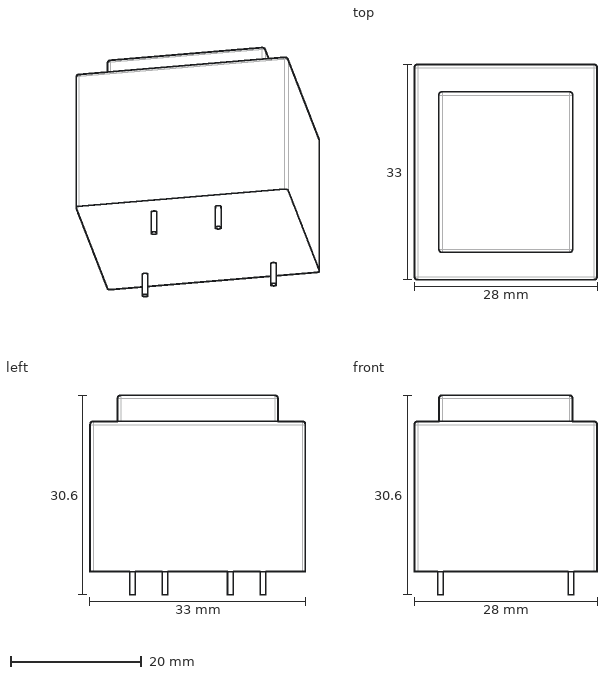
import cadquery as cq

HOUSING_X = 28.0
HOUSING_Y = 33.0
HOUSING_HEIGHT = 23.0

CORE_X = 20.5
CORE_Y = 24.6
CORE_HEIGHT = 4.0

EDGE_RADIUS = 0.5

PIN_DIAMETER = 0.9
PIN_LENGTH = 3.6
PIN_ROW_SPACING = 20.0
WIDE_PAIR_SPACING = 20.0
NARROW_PAIR_SPACING = WIDE_PAIR_SPACING / 2


def rounded_block(size_x, size_y, height, base_z):
    """Block with rounded vertical and top edges and a sharp bottom outline."""
    return (
        cq.Workplane("XY", origin=(0, 0, base_z))
        .box(size_x, size_y, height, centered=(True, True, False))
        .edges("|Z or >Z")
        .fillet(EDGE_RADIUS)
    )


def terminal_pin(x, y):
    """Round pin hanging from the housing underside at z = 0."""
    return cq.Workplane("XY", origin=(x, y, 0)).circle(PIN_DIAMETER / 2).extrude(-PIN_LENGTH)


housing = rounded_block(HOUSING_X, HOUSING_Y, HOUSING_HEIGHT, 0)
core = rounded_block(CORE_X, CORE_Y, CORE_HEIGHT, HOUSING_HEIGHT)

pins = []
for row_side, pair_spacing in ((-1, WIDE_PAIR_SPACING), (1, NARROW_PAIR_SPACING)):
    for pair_side in (-1, 1):
        pin_x = row_side * PIN_ROW_SPACING / 2
        pin_y = pair_side * pair_spacing / 2
        pins.append(terminal_pin(pin_x, pin_y).val())

result = cq.Compound.makeCompound([housing.val(), core.val(), *pins])